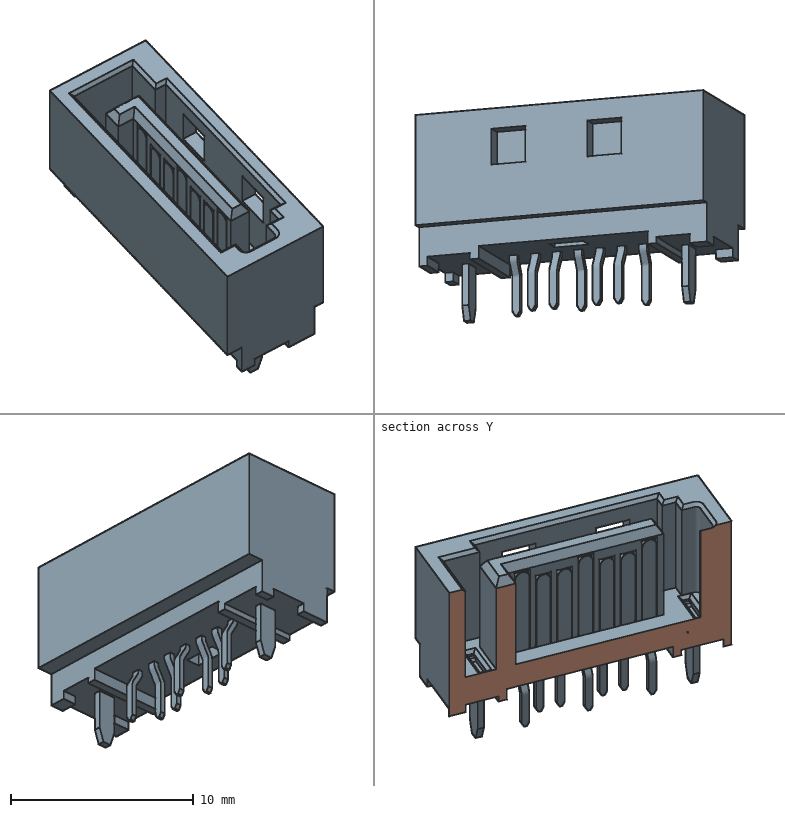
import cadquery as cq
import math


LENGTH = 16.9
DEPTH = 6.45
BASE_FRONT = 0.98
BASE_BACK = 5.88
FRONT_LEDGE_Z = -6.42
BACK_LEDGE_Z = -6.22
FOOT_Z = -8.42
RIB_Z = -8.26
END_UNDERSIDE_Z = -7.91
MIDDLE_UNDERSIDE_Z = -7.55
LEFT_FOOT_LENGTH = 1.0
RIGHT_FOOT_LENGTH = 0.49
RIB_WIDTH = 0.5
MIDDLE_LEFT = -4.99
MIDDLE_RIGHT = 4.95
FOOT_GAP_FRONT = 1.85
LEFT_FOOT_GAP_BACK = 4.82
RIGHT_FOOT_GAP_BACK = 4.12

CONTACT_MIDDLE_X = 0.17
CAVITY_FLOOR_Z = -6.0
CAVITY_LEFT = -7.47
CAVITY_FRONT = 0.95
CAVITY_SHOULDER = 4.87
CAVITY_BACK = 5.58
CAVITY_BACK_LEFT = -5.29
CAVITY_BACK_RIGHT = 5.63
CAVITY_RIGHT_REAR = 6.44
CAVITY_RIGHT_FRONT = 6.59
KEY_RIGHT = 7.45
KEY_FRONT = 1.88
KEY_BACK = 4.05
KEY_RADIUS = 0.24
RIM_CHAMFER = 0.2

OPENING_WIDTH = 2.0
WINDOW_HEIGHT = 2.03
WINDOW_TOP_Z = -1.15
WINDOW_SPACING = 5.63
FLOOR_HOLE_BACK = 4.92

TONGUE_LEFT = -5.65
TONGUE_RIGHT = 4.82
TONGUE_BACK = 4.05
TONGUE_FRONT = 2.8
TONGUE_LEG_RIGHT = -4.46
TONGUE_LEG_FRONT = 1.79
TONGUE_BEVEL_WIDTH = 0.32
TONGUE_BEVEL_HEIGHT = 0.5

CONTACT_COUNT = 7
CONTACT_PITCH = 1.27
LONG_CONTACTS = (0, 3, 6)
LONG_SLOT_TOP_Z = -0.63
SHORT_SLOT_TOP_Z = -1.15
SLOT_WIDTH = 0.93
SLOT_DEPTH = 0.29
BLADE_WIDTH = 0.83
BLADE_TOP_GAP = 0.05
METAL_THICKNESS = 0.3
PIN_WIDTH = 0.45
PIN_TIP_WIDTH = 0.15
PIN_TAPER = 0.25
PIN_TIP_Z = -10.85
PIN_TOP_Z = -7.1
BEND_Z = -7.8
BEND_ANGLE = 30.0
BEND_RADIUS = 0.29
FRONT_ROW_SHIFT = -0.45
BACK_ROW_SHIFT = 0.5

HOLD_DOWN_SPACING = 12.91
HOLD_DOWN_Y = 2.95
HOLD_DOWN_THICKNESS = 0.39
LEG_WIDTH = 1.1
LEG_TIP_WIDTH = 0.52
LEG_TAPER = 0.81
LEG_TIP_Z = -11.05
HOLD_SLOT_LENGTH = 1.83
HOLD_SLOT_DEPTH = 0.34
SADDLE_TOP_LENGTH = 1.42
SADDLE_FLOOR_LENGTH = 1.15
SADDLE_DEPTH = 0.17


def box(x0, x1, y0, y1, z0, z1):
    """Box between two limits on each axis."""
    return cq.Workplane("XY").box(x1 - x0, y1 - y0, z1 - z0, centered=False).translate((x0, y0, z0))


def side_profile(points, width, x_middle):
    """Prism of a (Y, Z) outline, centred on x_middle."""
    plane = cq.Workplane("YZ", origin=(x_middle, 0, 0))
    return plane.polyline(points).close().extrude(width / 2, both=True)


def pointed_bar(width, tip_width, taper, top_z, tip_z):
    """Outline of a downward bar whose end narrows to a flat tip."""
    return [
        (-width / 2, top_z),
        (-width / 2, tip_z + taper),
        (-tip_width / 2, tip_z),
        (tip_width / 2, tip_z),
        (width / 2, tip_z + taper),
        (width / 2, top_z),
    ]


def housing_block():
    half = LENGTH / 2
    body = side_profile(
        [
            (0, 0),
            (DEPTH, 0),
            (DEPTH, BACK_LEDGE_Z),
            (BASE_BACK, BACK_LEDGE_Z),
            (BASE_BACK, FOOT_Z),
            (BASE_FRONT, FOOT_Z),
            (BASE_FRONT, FRONT_LEDGE_Z),
            (0, FRONT_LEDGE_Z),
        ],
        LENGTH,
        0,
    )
    left_foot_end = -half + LEFT_FOOT_LENGTH
    right_foot_end = half - RIGHT_FOOT_LENGTH
    left_rib = MIDDLE_LEFT - RIB_WIDTH
    right_rib = MIDDLE_RIGHT + RIB_WIDTH
    for x0, x1, top_z in (
        (left_foot_end, left_rib, END_UNDERSIDE_Z),
        (left_rib, MIDDLE_LEFT, RIB_Z),
        (MIDDLE_LEFT, MIDDLE_RIGHT, MIDDLE_UNDERSIDE_Z),
        (MIDDLE_RIGHT, right_rib, RIB_Z),
        (right_rib, right_foot_end, END_UNDERSIDE_Z),
    ):
        body = body.cut(box(x0, x1, 0, DEPTH, FOOT_Z, top_z))
    for x0, x1, gap_back in (
        (-half, left_foot_end, LEFT_FOOT_GAP_BACK),
        (right_foot_end, half, RIGHT_FOOT_GAP_BACK),
    ):
        body = body.cut(box(x0, x1, FOOT_GAP_FRONT, gap_back, FOOT_Z, END_UNDERSIDE_Z))
    return body


def flare(outline, height, growth):
    """Sharp-cornered solid above an outline, growing (or shrinking) evenly by growth at its top."""
    base = outline.val()
    top = base.offset2D(growth, "intersection")[0].translate(cq.Vector(0, 0, height))
    return cq.Workplane(cq.Solid.makeLoft([base, top], True))


def cavity_outline(z):
    """Cavity outline at height z, with a round-cornered key pocket on the right."""
    corner = KEY_RADIUS * (1 - math.sqrt(0.5))
    return (
        cq.Workplane("XY", origin=(0, 0, z))
        .moveTo(CAVITY_LEFT, CAVITY_FRONT)
        .lineTo(CAVITY_RIGHT_FRONT, CAVITY_FRONT)
        .lineTo(CAVITY_RIGHT_FRONT, KEY_FRONT)
        .lineTo(KEY_RIGHT - KEY_RADIUS, KEY_FRONT)
        .threePointArc((KEY_RIGHT - corner, KEY_FRONT + corner), (KEY_RIGHT, KEY_FRONT + KEY_RADIUS))
        .lineTo(KEY_RIGHT, KEY_BACK - KEY_RADIUS)
        .threePointArc((KEY_RIGHT - corner, KEY_BACK - corner), (KEY_RIGHT - KEY_RADIUS, KEY_BACK))
        .lineTo(CAVITY_RIGHT_REAR, KEY_BACK)
        .lineTo(CAVITY_RIGHT_REAR, CAVITY_SHOULDER)
        .lineTo(CAVITY_BACK_RIGHT, CAVITY_SHOULDER)
        .lineTo(CAVITY_BACK_RIGHT, CAVITY_BACK)
        .lineTo(CAVITY_BACK_LEFT, CAVITY_BACK)
        .lineTo(CAVITY_BACK_LEFT, CAVITY_SHOULDER)
        .lineTo(CAVITY_LEFT, CAVITY_SHOULDER)
        .close()
    )


def cavity():
    straight = cavity_outline(CAVITY_FLOOR_Z).extrude(-CAVITY_FLOOR_Z)
    flared_rim = flare(cavity_outline(-RIM_CHAMFER), RIM_CHAMFER, RIM_CHAMFER)
    return straight.union(flared_rim)


def openings():
    """Two windows through the back wall and one hole through the floor behind the tongue."""
    half = OPENING_WIDTH / 2
    left = CONTACT_MIDDLE_X - half
    right = CONTACT_MIDDLE_X + half
    cuts = box(left, right, TONGUE_BACK, FLOOR_HOLE_BACK, FOOT_Z, CAVITY_FLOOR_Z)
    window = box(left, right, CAVITY_BACK, DEPTH, WINDOW_TOP_Z - WINDOW_HEIGHT, WINDOW_TOP_Z)
    for side in (-1, 1):
        cuts = cuts.add(window.translate((side * WINDOW_SPACING / 2, 0, 0)))
    return cuts.combine()


def tongue():
    outline = [
        (TONGUE_LEFT, TONGUE_BACK),
        (TONGUE_LEFT, TONGUE_LEG_FRONT),
        (TONGUE_LEG_RIGHT, TONGUE_LEG_FRONT),
        (TONGUE_LEG_RIGHT, TONGUE_FRONT),
        (TONGUE_RIGHT, TONGUE_FRONT),
        (TONGUE_RIGHT, TONGUE_BACK),
    ]
    bevel_start = cq.Workplane("XY", origin=(0, 0, -TONGUE_BEVEL_HEIGHT)).polyline(outline).close()
    bevelled_top = flare(bevel_start, TONGUE_BEVEL_HEIGHT, -TONGUE_BEVEL_WIDTH)
    floor_start = cq.Workplane("XY", origin=(0, 0, CAVITY_FLOOR_Z)).polyline(outline).close()
    return floor_start.extrude(-CAVITY_FLOOR_Z - TONGUE_BEVEL_HEIGHT).union(bevelled_top)


def contact_slot(x, top_z):
    half = SLOT_WIDTH / 2
    return box(x - half, x + half, TONGUE_LEG_FRONT, TONGUE_FRONT + SLOT_DEPTH, CAVITY_FLOOR_Z, top_z)


def contact_blade(x, slot_top_z):
    """Flat round-topped blade lying in a slot, flush with the front of the tongue."""
    radius = BLADE_WIDTH / 2
    apex_z = slot_top_z - BLADE_TOP_GAP
    return (
        cq.Workplane("XZ", origin=(x, TONGUE_FRONT, 0))
        .moveTo(-radius, CAVITY_FLOOR_Z)
        .lineTo(-radius, apex_z - radius)
        .threePointArc((0, apex_z), (radius, apex_z - radius))
        .lineTo(radius, CAVITY_FLOOR_Z)
        .close()
        .extrude(-METAL_THICKNESS)
    )


def solder_pin(x, shift):
    """Pin below the housing, bent sideways by shift in Y and pointed at its end."""
    angle = math.radians(BEND_ANGLE)
    slope_height = abs(shift) / math.tan(angle)
    miter = math.copysign(METAL_THICKNESS / 2 * math.tan(angle / 2), shift)
    front = TONGUE_FRONT
    back = TONGUE_FRONT + METAL_THICKNESS
    lower_z = BEND_Z - slope_height
    strip = side_profile(
        [
            (front, PIN_TOP_Z),
            (front, BEND_Z - miter),
            (front + shift, lower_z - miter),
            (front + shift, PIN_TIP_Z),
            (back + shift, PIN_TIP_Z),
            (back + shift, lower_z + miter),
            (back, BEND_Z + miter),
            (back, PIN_TOP_Z),
        ],
        PIN_WIDTH,
        x,
    )
    upper_inside = front if shift < 0 else back
    upper_outside = front + back - upper_inside
    outer_radius = BEND_RADIUS + METAL_THICKNESS
    for y, z, radius in (
        (upper_inside, BEND_Z + abs(miter), BEND_RADIUS),
        (upper_outside, BEND_Z - abs(miter), outer_radius),
        (upper_inside + shift, lower_z + abs(miter), outer_radius),
        (upper_outside + shift, lower_z - abs(miter), BEND_RADIUS),
    ):
        strip = strip.edges(cq.NearestToPointSelector((x, y, z))).fillet(radius)
    point = pointed_bar(PIN_WIDTH, PIN_TIP_WIDTH, PIN_TAPER, PIN_TOP_Z, PIN_TIP_Z)
    envelope = cq.Workplane("XZ", origin=(x, 0, 0)).polyline(point).close().extrude(-DEPTH)
    return strip.intersect(envelope)


def hold_down_slot(x):
    """Funnel-mouthed slot in the cavity floor, ending on the saddle of the hold-down."""
    bottom_z = CAVITY_FLOOR_Z - HOLD_SLOT_DEPTH
    slot = (
        cq.Workplane("XY", origin=(x, HOLD_DOWN_Y, bottom_z))
        .rect(HOLD_DOWN_THICKNESS, HOLD_SLOT_LENGTH)
        .extrude(HOLD_SLOT_DEPTH)
    )
    funnel_start = cq.Workplane("XY", origin=(x, HOLD_DOWN_Y, CAVITY_FLOOR_Z - RIM_CHAMFER))
    funnel = flare(funnel_start.rect(HOLD_DOWN_THICKNESS, HOLD_SLOT_LENGTH), RIM_CHAMFER, RIM_CHAMFER)
    saddle = side_profile(
        [
            (HOLD_DOWN_Y - SADDLE_TOP_LENGTH / 2, bottom_z),
            (HOLD_DOWN_Y - SADDLE_FLOOR_LENGTH / 2, bottom_z - SADDLE_DEPTH),
            (HOLD_DOWN_Y + SADDLE_FLOOR_LENGTH / 2, bottom_z - SADDLE_DEPTH),
            (HOLD_DOWN_Y + SADDLE_TOP_LENGTH / 2, bottom_z),
        ],
        HOLD_DOWN_THICKNESS,
        x,
    )
    return slot.union(funnel).union(saddle)


def hold_down_leg(x):
    top_z = (CAVITY_FLOOR_Z + END_UNDERSIDE_Z) / 2
    outline = pointed_bar(LEG_WIDTH, LEG_TIP_WIDTH, LEG_TAPER, top_z, LEG_TIP_Z)
    return side_profile(outline, HOLD_DOWN_THICKNESS, x).translate((0, HOLD_DOWN_Y, 0))


result = housing_block().cut(cavity()).cut(openings()).union(tongue())

for index in range(CONTACT_COUNT):
    contact_x = CONTACT_MIDDLE_X + (index - (CONTACT_COUNT - 1) / 2) * CONTACT_PITCH
    is_long = index in LONG_CONTACTS
    slot_top = LONG_SLOT_TOP_Z if is_long else SHORT_SLOT_TOP_Z
    row_shift = FRONT_ROW_SHIFT if is_long else BACK_ROW_SHIFT
    result = result.cut(contact_slot(contact_x, slot_top))
    result = result.union(contact_blade(contact_x, slot_top))
    result = result.union(solder_pin(contact_x, row_shift))

for side in (-1, 1):
    hold_down_x = CONTACT_MIDDLE_X + side * HOLD_DOWN_SPACING / 2
    result = result.cut(hold_down_slot(hold_down_x))
    result = result.union(hold_down_leg(hold_down_x))